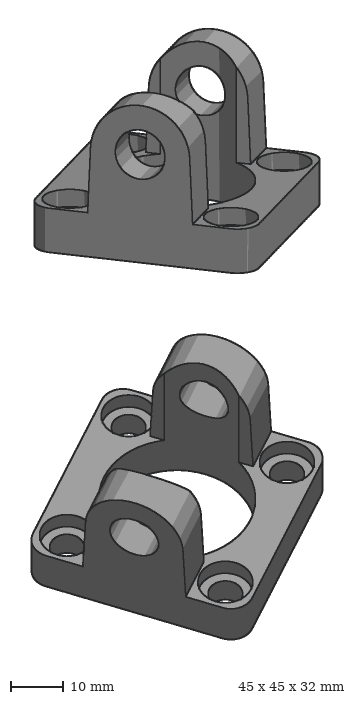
import cadquery as cq
import math

side = 45.0
base_height = 9.0
corner_radius = 4.35
bore_diameter = 30.0

screw_spacing = 32.5
screw_diameter = 6.6
counterbore_diameter = 10.5
counterbore_depth = 3.5

total_height = 32.0
lug_radius = 10.0
lug_thickness = 9.6
pin_diameter = 10.0
flank_angle = math.radians(2.5)
pin_height = total_height - lug_radius


def make_base():
    """Square plate with rounded vertical corners, resting on Z = 0."""
    plate = cq.Workplane("XY").box(side, side, base_height, centered=(True, True, False))
    return plate.edges("|Z").fillet(corner_radius)


def make_lug(outer_y):
    """Round-topped lug with tapered flanks tangent to the crown, extending toward +Y from outer_y."""
    tangent_x = lug_radius * math.cos(flank_angle)
    tangent_z = pin_height + lug_radius * math.sin(flank_angle)
    foot_x = tangent_x + (tangent_z - base_height) * math.tan(flank_angle)
    return (
        cq.Workplane("XZ", origin=(0, outer_y, 0))
        .moveTo(-foot_x, base_height)
        .lineTo(-tangent_x, tangent_z)
        .threePointArc((0, total_height), (tangent_x, tangent_z))
        .lineTo(foot_x, base_height)
        .close()
        .extrude(-lug_thickness)
    )


def make_pin_hole():
    """Cylinder along Y through both lugs."""
    return (
        cq.Workplane("XZ", origin=(0, -side / 2, 0))
        .center(0, pin_height)
        .circle(pin_diameter / 2)
        .extrude(-side)
    )


def make_bore():
    """Vertical cylinder that opens the plate and hollows the inner lug faces."""
    return cq.Workplane("XY").circle(bore_diameter / 2).extrude(total_height)


def cut_screw_holes(body):
    """Four counterbored through holes, entered from the top of the plate."""
    return (
        body.copyWorkplane(cq.Workplane("XY", origin=(0, 0, base_height)))
        .rect(screw_spacing, screw_spacing, forConstruction=True)
        .vertices()
        .cboreHole(screw_diameter, counterbore_diameter, counterbore_depth)
    )


body = cut_screw_holes(make_base())
for outer_y in (-side / 2, side / 2 - lug_thickness):
    body = body.union(make_lug(outer_y))
result = body.cut(make_bore()).cut(make_pin_hole())